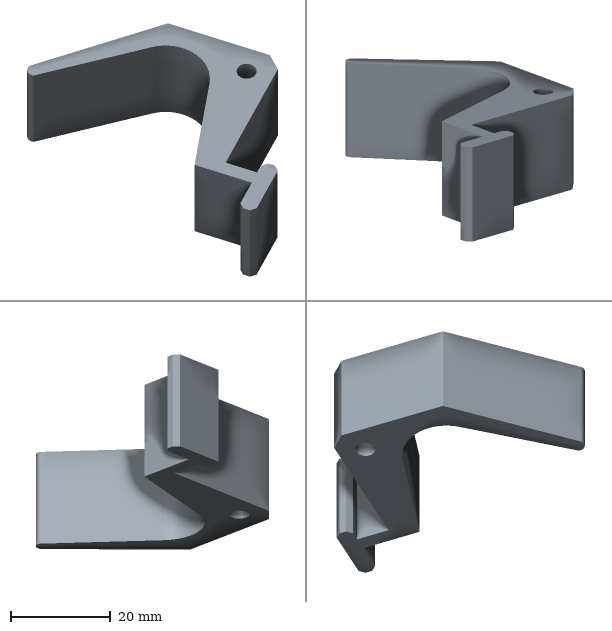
import cadquery as cq
import math

length = 56.85
depth = 40.0
thickness = 20.0

bar_width = 3.5
bar_length = 13.0
bar_chamfer = 1.0
stem_bottom = 7.0
stem_width = 2.95
stem_length = 6.95

leg_bottom_width = 5.5
top_corner_chamfer = 2.9
top_edge_length = 22.2
hole_diameter = 4.0
hole_inset = 5.6
hole_drop = 5.8

hook_radius = 8.85
hook_center = (26.6, 26.1)

tip_radius = 1.5
tip_center = (tip_radius, 18.1)
tip_end_x = 1.9

bar_left = length - bar_width
leg_right = bar_left - stem_length
leg_left = leg_right - leg_bottom_width
stem_top = stem_bottom + stem_width
top_right = leg_right - top_corner_chamfer
top_left = top_right - top_edge_length


def on_circle(center, radius, angle):
    """Point on a circle at an angle in radians."""
    return (center[0] + radius * math.cos(angle), center[1] + radius * math.sin(angle))


def hook_normal(point, side):
    """Angle on the hook arc where a line from the point is tangent; side is 1 or -1."""
    dx = point[0] - hook_center[0]
    dy = point[1] - hook_center[1]
    return math.atan2(dy, dx) + side * math.acos(hook_radius / math.hypot(dx, dy))


tip_offset = (tip_center[1] - tip_center[0] - depth + top_left) / math.sqrt(2)
tip_start_angle = 3 * math.pi / 4 + math.acos(-tip_offset / tip_radius)
tip_end_angle = -math.acos((tip_end_x - tip_center[0]) / tip_radius)
tip_start = on_circle(tip_center, tip_radius, tip_start_angle)
tip_end = on_circle(tip_center, tip_radius, tip_end_angle)

leg_normal = hook_normal((leg_left, stem_bottom), 1)
finger_normal = hook_normal(tip_end, -1)

profile = (
    cq.Workplane("XY")
    .moveTo(*tip_start)
    .lineTo(top_left, depth)
    .lineTo(top_right, depth)
    .lineTo(leg_right, depth - top_corner_chamfer)
    .lineTo(leg_right, stem_top)
    .lineTo(bar_left, stem_top)
    .lineTo(bar_left, stem_bottom)
    .lineTo(leg_left, stem_bottom)
    .lineTo(*on_circle(hook_center, hook_radius, leg_normal))
    .threePointArc(
        on_circle(hook_center, hook_radius, math.pi / 2),
        on_circle(hook_center, hook_radius, finger_normal),
    )
    .lineTo(*tip_end)
    .threePointArc(
        (0, tip_center[1]),
        tip_start,
    )
    .close()
)
body = profile.extrude(thickness)

bar = (
    cq.Workplane("XY")
    .box(bar_width, bar_length, thickness, centered=False)
    .edges("|Z")
    .chamfer(bar_chamfer)
    .translate((bar_left, 0, 0))
)

hole = (
    cq.Workplane("XY")
    .center(leg_right - hole_inset, depth - hole_drop)
    .circle(hole_diameter / 2)
    .extrude(thickness)
)

result = body.union(bar).cut(hole)